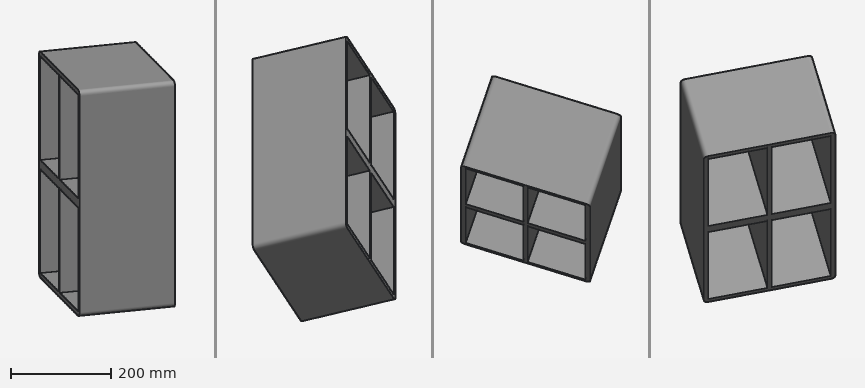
import cadquery as cq

width = 271.0
depth = 200.0
height = 476.0

wall = 10.0
divider_thickness = 9.0
shelf_thickness = 20.0

corner_radius = 10.0

columns = 2
rows = 2
cell_width = (width - 2 * wall - divider_thickness) / columns
cell_height = (height - 2 * wall - shelf_thickness) / rows

body = cq.Workplane("XY").box(width, depth, height).edges("|Y").fillet(corner_radius)

compartments = (
    cq.Workplane("XZ")
    .rarray(cell_width + divider_thickness, cell_height + shelf_thickness, columns, rows)
    .rect(cell_width, cell_height)
    .extrude(depth, both=True)
)

result = body.cut(compartments)